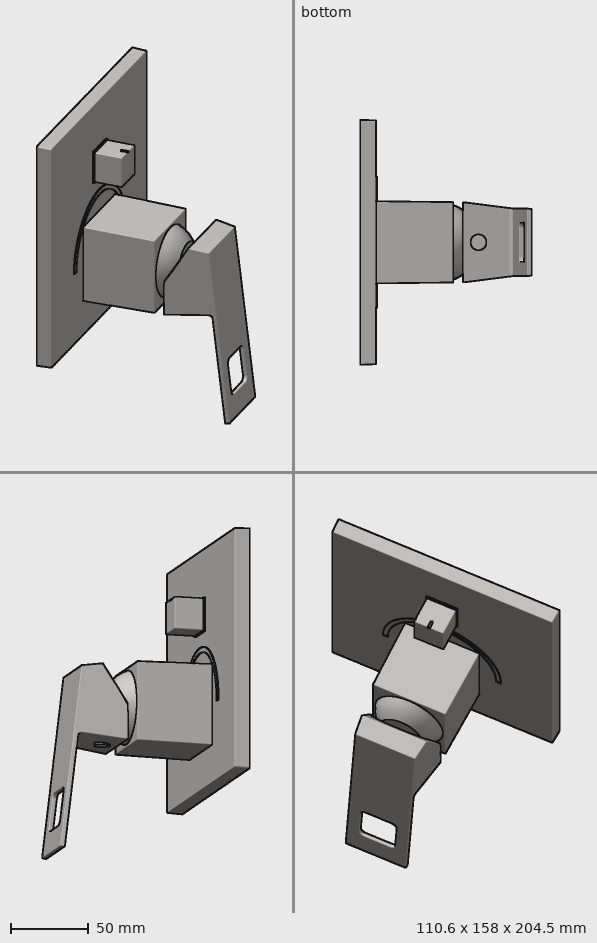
import cadquery as cq
import math


OVERALL_HEIGHT = 204.5

EDGE_ROUND = 0.6

PLATE_SIZE = 158.0
PLATE_THICKNESS = 10.2
PLATE_CENTRE_Z = 27.4
PLATE_DRAFT = 2.0
PLATE_CORNER_RADIUS = 1.0

BAND_OUTER_RADIUS = 42.1
BAND_WIDTH = 3.5
BAND_HEIGHT = 0.6

KNOB_CENTRE_Z = 62.4
KNOB_SIZE = 21.0
KNOB_REACH = 30.7
KNOB_FOOT_SIZE = 22.0
KNOB_FOOT_HEIGHT = 1.2
MARK_LENGTH = 5.3
MARK_WIDTH = 1.6
MARK_DEPTH = 0.6

HOUSING_BACK_SIZE = 53.4
HOUSING_FRONT_SIZE = 52.0
HOUSING_FRONT_X = 60.1

BALL_CENTRE_X = 51.1
BALL_RADIUS = 25.8
BALL_FLAT_DIAMETER = 30.0

LEVER_TILT = 6.85
LEVER_BACK_X = 66.2
LEVER_TIP_X = 110.6
LEVER_TIP_Z = PLATE_CENTRE_Z + PLATE_SIZE / 2 - OVERALL_HEIGHT
LEVER_TOP_Z = 22.0
LEVER_SLOPE_TOP_X = 82.4
LEVER_SLOPE_BOTTOM_Z = -2.5
LEVER_UNDERSIDE_Z = -26.0
LEVER_BACK_WIDTH = 52.0
BLADE_WIDTH = 43.0
BLADE_THICKNESS = 3.3
BLADE_ROOT_RADIUS = 2.5
SOCKET_RADIUS = 28.6
WINDOW_SIZE = 25.4
WINDOW_CENTRE_Z = -69.3
WINDOW_CORNER_RADIUS = 3.3
STUD_DIAMETER = 10.2
STUD_CENTRE_X = 76.3
STUD_BOTTOM_Z = -25.8
STUD_LENGTH = 4.0

TILT_TANGENT = math.tan(math.radians(LEVER_TILT))
TIP_RISE = BLADE_THICKNESS * math.sin(math.radians(LEVER_TILT))
TIP_ROUND_LOSS = EDGE_ROUND * (math.cos(math.radians(LEVER_TILT)) + math.sin(math.radians(LEVER_TILT)) - 1)
SHARP_TIP_X = LEVER_TIP_X + TIP_ROUND_LOSS
SHARP_TIP_Z = LEVER_TIP_Z - TIP_ROUND_LOSS


def square_block(size, x_start, x_end, centre_z=0.0, draft=0.0):
    """Square block along X that narrows by the draft angle."""
    return (
        cq.Workplane("YZ", origin=(x_start, 0, centre_z))
        .rect(size, size)
        .extrude(x_end - x_start, taper=draft)
    )


def make_housing():
    draft = math.degrees(math.atan((HOUSING_BACK_SIZE - HOUSING_FRONT_SIZE) / 2 / HOUSING_FRONT_X))
    block = square_block(HOUSING_BACK_SIZE, 0, HOUSING_FRONT_X, draft=draft)
    return block.edges("not(<X)").fillet(EDGE_ROUND)


def make_band():
    band_inner_radius = BAND_OUTER_RADIUS - BAND_WIDTH
    return (
        cq.Workplane("YZ", origin=(PLATE_THICKNESS, 0, 0))
        .moveTo(BAND_OUTER_RADIUS, 0)
        .threePointArc((0, BAND_OUTER_RADIUS), (-BAND_OUTER_RADIUS, 0))
        .lineTo(-band_inner_radius, 0)
        .threePointArc((0, band_inner_radius), (band_inner_radius, 0))
        .close()
        .extrude(BAND_HEIGHT)
    )


def make_plate(housing):
    plate = square_block(PLATE_SIZE, 0, PLATE_THICKNESS, PLATE_CENTRE_Z, PLATE_DRAFT)
    plate = plate.edges("not(#X)").fillet(PLATE_CORNER_RADIUS)
    plate = plate.faces(">X").edges().fillet(EDGE_ROUND)
    return plate.union(make_band()).cut(housing)


def make_knob():
    foot_end_x = PLATE_THICKNESS + KNOB_FOOT_HEIGHT
    foot = square_block(KNOB_FOOT_SIZE, PLATE_THICKNESS, foot_end_x, KNOB_CENTRE_Z)
    body = square_block(KNOB_SIZE, foot_end_x, KNOB_REACH, KNOB_CENTRE_Z)
    body = body.edges("not(<X)").fillet(EDGE_ROUND)
    mark = (
        cq.Workplane("XY", origin=(KNOB_REACH, 0, KNOB_CENTRE_Z + KNOB_SIZE / 2))
        .slot2D(2 * MARK_LENGTH, MARK_WIDTH)
        .extrude(-MARK_DEPTH)
    )
    return foot.union(body).cut(mark)


def make_ball():
    flat_radius = BALL_FLAT_DIAMETER / 2
    flat_x = BALL_CENTRE_X + math.sqrt(BALL_RADIUS**2 - flat_radius**2)
    base_radius = math.sqrt(BALL_RADIUS**2 - (HOUSING_FRONT_X - BALL_CENTRE_X) ** 2)
    middle_x = (HOUSING_FRONT_X + flat_x) / 2
    middle_radius = math.sqrt(BALL_RADIUS**2 - (middle_x - BALL_CENTRE_X) ** 2)
    return (
        cq.Workplane("XY")
        .moveTo(HOUSING_FRONT_X, 0)
        .lineTo(HOUSING_FRONT_X, base_radius)
        .threePointArc((middle_x, middle_radius), (flat_x, flat_radius))
        .lineTo(flat_x, 0)
        .close()
        .revolve(360, (0, 0, 0), (1, 0, 0))
    )


def front_face_x(z):
    """X of the leaning front face at height z."""
    return SHARP_TIP_X - (z - SHARP_TIP_Z - TIP_RISE) * TILT_TANGENT


def blade_back_x(z):
    """X of the back of the blade at height z."""
    return front_face_x(z) - BLADE_THICKNESS / math.cos(math.radians(LEVER_TILT))


def lever_profile():
    top_front_x = front_face_x(LEVER_TOP_Z)
    slope_top_z = LEVER_TOP_Z + (top_front_x - LEVER_SLOPE_TOP_X) * TILT_TANGENT
    root_run = blade_back_x(LEVER_UNDERSIDE_Z) - LEVER_BACK_X
    root_rise = root_run * TILT_TANGENT / (1 + TILT_TANGENT**2)
    root_z = LEVER_UNDERSIDE_Z + root_rise
    root_x = blade_back_x(root_z)
    return [
        (LEVER_BACK_X, LEVER_SLOPE_BOTTOM_Z),
        (LEVER_SLOPE_TOP_X, slope_top_z),
        (top_front_x, LEVER_TOP_Z),
        (SHARP_TIP_X, SHARP_TIP_Z + TIP_RISE),
        (blade_back_x(SHARP_TIP_Z), SHARP_TIP_Z),
        (root_x, root_z),
        (LEVER_BACK_X, LEVER_UNDERSIDE_Z),
    ]


def make_lever_taper():
    """Wedge as deep as the lower back corner that narrows towards the tilted front face."""
    front_x = front_face_x(0)
    lower_depth = front_face_x(LEVER_UNDERSIDE_Z) - LEVER_BACK_X
    back_x = front_x - lower_depth * math.cos(math.radians(LEVER_TILT))
    return (
        cq.Workplane("XY")
        .polyline([
            (back_x, LEVER_BACK_WIDTH / 2),
            (front_x, BLADE_WIDTH / 2),
            (front_x, -BLADE_WIDTH / 2),
            (back_x, -LEVER_BACK_WIDTH / 2),
        ])
        .close()
        .extrude(OVERALL_HEIGHT, both=True)
        .rotate((front_x, 0, 0), (front_x, 1, 0), -LEVER_TILT)
    )


def make_lever():
    side = cq.Workplane("XZ").polyline(lever_profile()).close().extrude(LEVER_BACK_WIDTH / 2, both=True)
    root = cq.selectors.NearestToPointSelector((blade_back_x(LEVER_UNDERSIDE_Z), 0, LEVER_UNDERSIDE_Z))
    side = side.edges("|Y").edges(root).fillet(BLADE_ROOT_RADIUS)
    stud = (
        cq.Workplane("XY", origin=(STUD_CENTRE_X, 0, STUD_BOTTOM_Z))
        .circle(STUD_DIAMETER / 2)
        .extrude(STUD_LENGTH)
    )
    socket = cq.Workplane("XY").sphere(SOCKET_RADIUS).translate((BALL_CENTRE_X, 0, 0))
    window = (
        cq.Workplane("YZ")
        .rect(WINDOW_SIZE, WINDOW_SIZE)
        .extrude(2 * BLADE_THICKNESS, both=True)
        .edges("|X")
        .fillet(WINDOW_CORNER_RADIUS)
        .rotate((0, 0, 0), (0, 1, 0), -LEVER_TILT)
        .translate((front_face_x(WINDOW_CENTRE_Z), 0, WINDOW_CENTRE_Z))
    )
    body = side.intersect(make_lever_taper()).cut(window).edges().fillet(EDGE_ROUND)
    return body.union(stud).cut(socket)


housing = make_housing()
plate = make_plate(housing)
knob = make_knob()
ball = make_ball()
lever = make_lever()

result = cq.Compound.makeCompound([plate.val(), housing.val(), knob.val(), ball.val(), lever.val()])